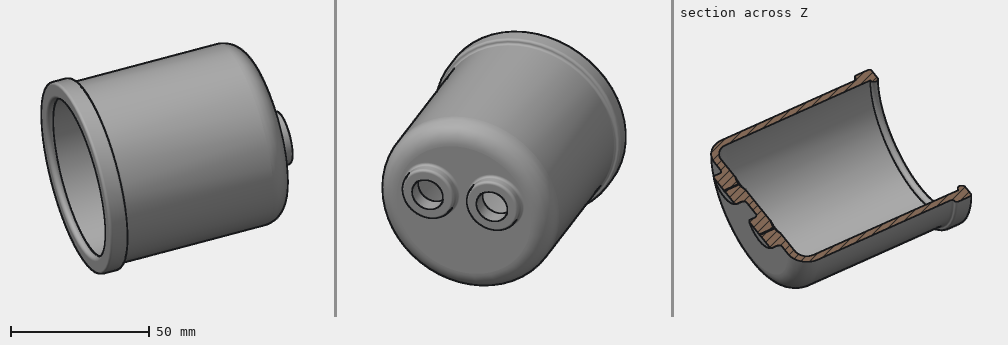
import cadquery as cq
import math

total_length = 76.0
edge_radius = 1.0

body_diameter = 68.0
bore_diameter = 62.0
body_radius = body_diameter / 2
bore_radius = bore_diameter / 2
wall = body_radius - bore_radius
outer_corner_radius = 8.0
inner_corner_radius = outer_corner_radius - wall

bead_radius = 1.5

rim_radius = body_radius + 2 * edge_radius
rim_thickness = 7.0

boss_height = 4.0
boss_radius = 10.0
hole_radius = 6.0
hole_chamfer_width = 1.0
hole_chamfer_depth = 0.7
boss_offset_x = 12.5
boss_offset_z = 6.0

mark_radius = 2.6
mark_depth = 0.3
mark_offset_z = 20.0

mouth_y = -total_length / 2
tip_y = total_length / 2
back_y = tip_y - boss_height
floor_y = back_y - wall
rim_back_y = mouth_y + rim_thickness


def round_point(center_x, center_y, radius, degrees):
    """Point on a corner round at the given angle from +X."""
    angle = math.radians(degrees)
    return (center_x + radius * math.cos(angle), center_y + radius * math.sin(angle))


def make_cup():
    """Revolve the wall section, drawn as radius against Y, about the Y axis."""
    rim_round_x = rim_radius - edge_radius
    front_round_y = mouth_y + edge_radius
    rear_round_y = rim_back_y - edge_radius
    neck_round_y = rim_back_y + edge_radius
    corner_x = body_radius - outer_corner_radius
    corner_y = back_y - outer_corner_radius
    inner_corner_y = floor_y - inner_corner_radius
    inner_corner_x = bore_radius - inner_corner_radius
    bead_back_y = mouth_y + 2 * bead_radius

    section = (
        cq.Workplane("XY")
        .moveTo(bore_radius, mouth_y)
        .lineTo(rim_round_x, mouth_y)
        .threePointArc(
            round_point(rim_round_x, front_round_y, edge_radius, -45),
            (rim_radius, front_round_y),
        )
        .lineTo(rim_radius, rear_round_y)
        .threePointArc(round_point(rim_round_x, rear_round_y, edge_radius, 45), (rim_round_x, rim_back_y))
        .threePointArc(
            round_point(rim_round_x, neck_round_y, edge_radius, 225),
            (body_radius, neck_round_y),
        )
        .lineTo(body_radius, corner_y)
        .threePointArc(round_point(corner_x, corner_y, outer_corner_radius, 45), (corner_x, back_y))
        .lineTo(0, back_y)
        .lineTo(0, floor_y)
        .lineTo(inner_corner_x, floor_y)
        .threePointArc(
            round_point(inner_corner_x, inner_corner_y, inner_corner_radius, 45),
            (bore_radius, inner_corner_y),
        )
        .lineTo(bore_radius, bead_back_y)
        .threePointArc((bore_radius - bead_radius, mouth_y + bead_radius), (bore_radius, mouth_y))
        .close()
    )
    return section.revolve(360, (0, 0, 0), (0, 1, 0))


def make_boss(x):
    """Boss with a rounded tip and a base round flaring into the closed end."""
    tip_round_x = boss_radius - edge_radius
    tip_round_y = tip_y - edge_radius
    base_round_x = boss_radius + edge_radius
    base_round_y = back_y + edge_radius
    section = (
        cq.Workplane("XY")
        .moveTo(0, floor_y)
        .lineTo(boss_radius, floor_y)
        .lineTo(boss_radius, back_y)
        .lineTo(base_round_x, back_y)
        .threePointArc(
            round_point(base_round_x, base_round_y, edge_radius, 225),
            (boss_radius, base_round_y),
        )
        .lineTo(boss_radius, tip_round_y)
        .threePointArc(round_point(tip_round_x, tip_round_y, edge_radius, 45), (tip_round_x, tip_y))
        .lineTo(0, tip_y)
        .close()
    )
    return section.revolve(360, (0, 0, 0), (0, 1, 0)).translate((x, 0, boss_offset_z))


def make_hole(x):
    """Through hole with a chamfer where it meets the floor."""
    section = (
        cq.Workplane("XY")
        .moveTo(0, floor_y)
        .lineTo(hole_radius + hole_chamfer_width, floor_y)
        .lineTo(hole_radius, floor_y + hole_chamfer_depth)
        .lineTo(hole_radius, tip_y)
        .lineTo(0, tip_y)
        .close()
    )
    return section.revolve(360, (0, 0, 0), (0, 1, 0)).translate((x, 0, boss_offset_z))


def make_mark():
    """Shallow disc cut into the inner floor above the holes."""
    start = cq.Vector(0, floor_y, mark_offset_z)
    return cq.Workplane(cq.Solid.makeCylinder(mark_radius, mark_depth, start, cq.Vector(0, 1, 0)))


result = make_cup()
for side in (-1, 1):
    result = result.union(make_boss(side * boss_offset_x))
for side in (-1, 1):
    result = result.cut(make_hole(side * boss_offset_x))
result = result.cut(make_mark())